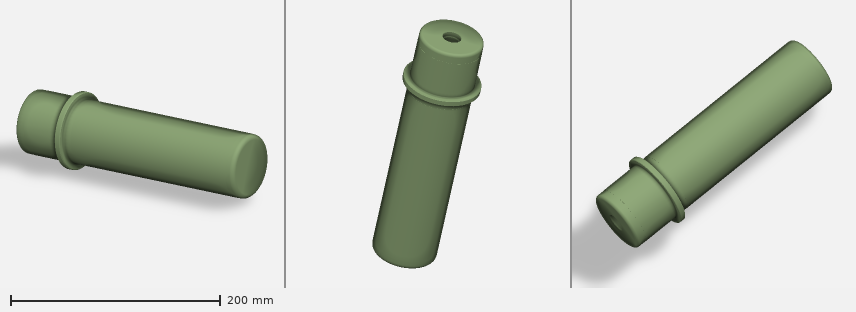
import cadquery as cq
import math


total_length = 249.0
body_radius = 31.5
relief_radius = 31.35
lead_length = 10.0
lead_fillet = 3.0
undercut_length = 8.0
tail_length = 9.0
tail_radius = 31.4
tail_fillet = 4.5

flange_radius = 38.0
flange_start = 49.0
flange_width = 6.0
flange_end = flange_start + flange_width
front_rim_chamfer = 0.5
rear_rim_chamfer = 0.8
front_root_fillet = 0.9
rear_root_fillet = 2.0

bore_radius = 9.0
bore_depth = 5.0
bore_chamfer = 0.5
drill_radius = 7.1
drill_depth = 24.0
drill_point_angle = 118.0


def arc_middle(center, radius, x_side, r_side):
    """Middle of a quarter arc; the sides (+1 or -1) pick its quadrant about the center."""
    offset = radius / math.sqrt(2)
    return (center[0] + x_side * offset, center[1] + r_side * offset)


def revolve_about_x(half_section):
    """Full turn of a closed half section, drawn as (x, radius), about the X axis."""
    return half_section.revolve(360, (0, 0, 0), (1, 0, 0))


def make_shaft():
    """Lead-in, seat, flange, undercut, guide length and rounded tail in one half section."""
    lead_center = (lead_fillet, relief_radius - lead_fillet)
    front_center = (flange_start - front_root_fillet, body_radius + front_root_fillet)
    rear_center = (flange_end + rear_root_fillet, relief_radius + rear_root_fillet)
    tail_center = (total_length - tail_fillet, tail_radius - tail_fillet)
    undercut_end = flange_end + undercut_length

    half_section = (
        cq.Workplane("XZ")
        .moveTo(0, 0)
        .lineTo(0, lead_center[1])
        .threePointArc(arc_middle(lead_center, lead_fillet, -1, 1), (lead_center[0], relief_radius))
        .lineTo(lead_length, relief_radius)
        .lineTo(lead_length, body_radius)
        .lineTo(front_center[0], body_radius)
        .threePointArc(
            arc_middle(front_center, front_root_fillet, 1, -1), (flange_start, front_center[1])
        )
        .lineTo(flange_start, flange_radius - front_rim_chamfer)
        .lineTo(flange_start + front_rim_chamfer, flange_radius)
        .lineTo(flange_end - rear_rim_chamfer, flange_radius)
        .lineTo(flange_end, flange_radius - rear_rim_chamfer)
        .lineTo(flange_end, rear_center[1])
        .threePointArc(
            arc_middle(rear_center, rear_root_fillet, -1, -1), (rear_center[0], relief_radius)
        )
        .lineTo(undercut_end, relief_radius)
        .lineTo(undercut_end, body_radius)
        .lineTo(total_length - tail_length, body_radius)
        .lineTo(tail_center[0], tail_radius)
        .threePointArc(arc_middle(tail_center, tail_fillet, 1, 1), (total_length, tail_center[1]))
        .lineTo(total_length, 0)
        .close()
    )
    return revolve_about_x(half_section)


def make_end_hole():
    """Chamfered counterbore followed by a drilled hole with a conical bottom."""
    point_length = drill_radius / math.tan(math.radians(drill_point_angle / 2))
    half_section = (
        cq.Workplane("XZ")
        .moveTo(0, 0)
        .lineTo(0, bore_radius + bore_chamfer)
        .lineTo(bore_chamfer, bore_radius)
        .lineTo(bore_depth, bore_radius)
        .lineTo(bore_depth, drill_radius)
        .lineTo(drill_depth, drill_radius)
        .lineTo(drill_depth + point_length, 0)
        .close()
    )
    return revolve_about_x(half_section)


result = make_shaft().cut(make_end_hole())